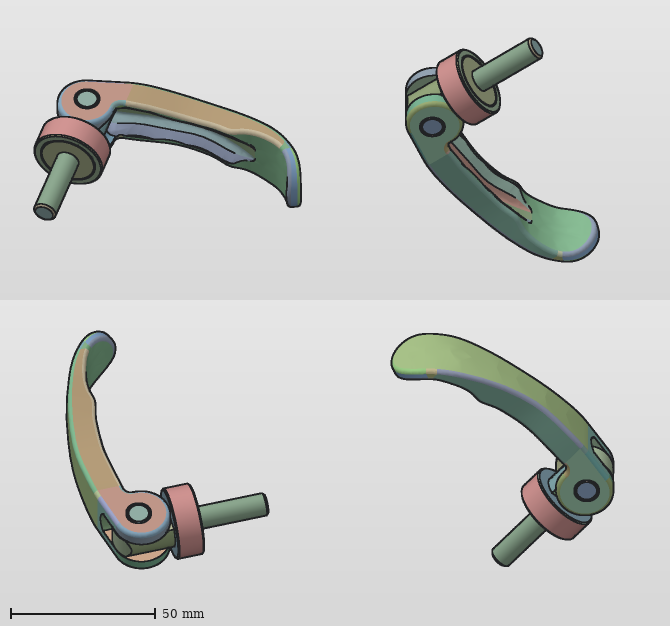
import cadquery as cq
import math


collar_radius = 12.5
collar_top_y = -11.0
collar_thickness = 9.4
collar_bottom_y = collar_top_y - collar_thickness
collar_chamfer = 0.5

shaft_radius = 4.0
shaft_end_y = -45.6
shaft_chamfer = 0.75
disc_radius = 10.0
disc_thickness = 3.8
disc_top_y = collar_bottom_y + disc_thickness
disc_chamfer = 0.5
neck_radius = 8.0
neck_half_width = 5.0
eye_radius = 9.2
eye_half_width = 4.6
eye_bottom_y = -8.7
pin_radius = 4.0
pin_chamfer = 0.5

fork_half_width = 10.02
cam_radius = 10.02
cam_center_y = collar_top_y + cam_radius
slot_half_width = neck_half_width
slot_end_radius = neck_radius + 0.2
pin_hole_chamfer = 0.4

roof_slope = math.radians(15)
roof_end_x = 10.1
back_points = [
    (21.9, 13.9), (32.0, 14.5), (44.5, 13.55), (52.3, 12.3), (61.6, 9.8), (68.5, 6.8), (75.7, 0.9), (82.2, -11.3),
]
back_end_direction = (0.3, -1)
crown_drops = [0, 0, 0.6, 1.0, 1.1, 1.0, 0.5, 0]
crown_half_width = 13.2
grip_points = [
    (76.8, -12.7), (73.4, -3.1), (69.7, 0.1), (65.7, 1.8), (59.3, 3.2), (55.5, 3.0),
    (52.0, 2.3), (46.7, 3.3), (40.9, 3.95), (32.0, 4.2), (21.9, 3.5),
]
root_corner_y = 1.9
root_corner_x = math.sqrt(cam_radius**2 - (root_corner_y - cam_center_y) ** 2)
root_fillet = 2.8

fork_end_x = 13.1
waist = (33.4, 8.3)
paddle_flare = (58.1, 11.0)
paddle_side_x = 71.5
paddle_half_width = 12.5
tip_center_x = 74.2
tip_tilt = math.radians(25)
edge_fillet = 1.4

channel_sections = [
    (6.6, 0.9, 7.5, 4.8, 4.3, 2.3),
    (12.7, 2.3, 8.1, 7.7, 4.2, 1.9),
    (23.5, 3.7, 9.0, 7.1, 3.3, 0.8),
    (34.8, 4.2, 9.4, 6.1, 2.5, 0.3),
    (45.2, 3.7, 8.3, 6.7, 3.0, 0.5),
    (52.2, 2.35, 6.4, 7.2, 3.8, 1.1),
    (57.4, 3.0, 4.5, 5.4, 3.5, 1.8),
    (62.1, 1.5, 2.1, 2.8, 2.4, 2.1),
]
channel_open_y = -12.2

through = 282.3


def cylinder_along_y(radius, bottom_y, top_y):
    return cq.Workplane("XZ", origin=(0, top_y, 0)).circle(radius).extrude(top_y - bottom_y)


def box_between(x_range, y_range, half_width):
    """A block symmetrical about Z = 0."""
    (x0, x1), (y0, y1) = x_range, y_range
    return cq.Workplane("XY", origin=((x0 + x1) / 2, (y0 + y1) / 2, 0)).box(x1 - x0, y1 - y0, 2 * half_width)


def make_neck():
    """Round neck with two flats; its top is an eye rounded about the pivot and slightly thinner."""
    full_width = (-neck_radius, neck_radius)
    lower_flats = box_between(full_width, (collar_bottom_y, eye_bottom_y), neck_half_width)
    eye_flats = box_between(full_width, (eye_bottom_y, 0), eye_half_width)
    eye = cq.Workplane("XY").circle(eye_radius).extrude(eye_half_width, both=True)
    neck = cylinder_along_y(neck_radius, collar_bottom_y, eye_radius)
    return neck.intersect(lower_flats.union(eye_flats).union(eye))


def make_stud():
    """Shaft, disc, neck and the cross pin that the lever turns on, all in one piece."""
    shaft = cylinder_along_y(shaft_radius, shaft_end_y, disc_top_y).faces("<Y").chamfer(shaft_chamfer)
    disc = cylinder_along_y(disc_radius, collar_bottom_y, disc_top_y).faces("<Y").chamfer(disc_chamfer)
    pin = cq.Workplane("XY").circle(pin_radius).extrude(fork_half_width, both=True)
    pin = pin.faces("|Z").chamfer(pin_chamfer)
    return make_neck().union(disc).union(shaft).union(pin)


def make_collar():
    ring = cylinder_along_y(collar_radius, collar_bottom_y, collar_top_y).faces("|Y").chamfer(collar_chamfer)
    disc_seat = cylinder_along_y(disc_radius, collar_bottom_y, disc_top_y)
    return ring.cut(disc_seat).cut(make_neck())


def side_outline(z):
    """Closed side outline at height z; the back falls away from the middle plane as a parabola."""
    roof_start = (
        -cam_radius * math.sin(roof_slope),
        cam_center_y + cam_radius * math.cos(roof_slope),
    )
    roof_end_y = roof_start[1] + (roof_end_x - roof_start[0]) * math.tan(roof_slope)
    fall = (z / crown_half_width) ** 2
    back = [(x, y - drop * fall) for (x, y), drop in zip(back_points, crown_drops)]
    back_tangents = [(1, math.tan(roof_slope)), back_end_direction]
    return (
        cq.Workplane("XY", origin=(0, 0, z))
        .moveTo(*roof_start)
        .lineTo(roof_end_x, roof_end_y)
        .spline(back, tangents=back_tangents, includeCurrent=True)
        .lineTo(*grip_points[0])
        .spline([*grip_points[1:], (root_corner_x, root_corner_y)], includeCurrent=True)
        .threePointArc((0, cam_center_y - cam_radius), roof_start)
        .close()
        .val()
    )


def make_crowned_side():
    outlines = [side_outline(z) for z in (-crown_half_width, 0, crown_half_width)]
    return cq.Workplane(cq.Solid.makeLoft(outlines))


def make_plan():
    upper = [(fork_end_x, fork_half_width), waist, paddle_flare, (paddle_side_x, paddle_half_width)]
    lower = [(x, -z) for x, z in reversed(upper)]
    return (
        cq.Workplane("XZ")
        .moveTo(-through / 2, fork_half_width)
        .lineTo(*upper[0])
        .spline(upper[1:], tangents=[(1, 0), (1, 0)], includeCurrent=True)
        .lineTo(through / 2, paddle_half_width)
        .lineTo(through / 2, -paddle_half_width)
        .lineTo(*lower[0])
        .spline(lower[1:], tangents=[(-1, 0), (-1, 0)], includeCurrent=True)
        .lineTo(-through / 2, -fork_half_width)
        .close()
        .extrude(through / 2, both=True)
    )


def make_round_tip():
    """Strip with a half-round end, extruded square to the tilted paddle tip."""
    plane = cq.Plane(
        origin=(tip_center_x, 0, 0),
        xDir=(math.sin(tip_tilt), -math.cos(tip_tilt), 0),
        normal=(math.cos(tip_tilt), math.sin(tip_tilt), 0),
    )
    return (
        cq.Workplane(plane)
        .moveTo(-through / 2, paddle_half_width)
        .lineTo(0, paddle_half_width)
        .threePointArc((paddle_half_width, 0), (0, -paddle_half_width))
        .lineTo(-through / 2, -paddle_half_width)
        .close()
        .extrude(through / 2, both=True)
    )


def make_lever_blank():
    blank = make_crowned_side().intersect(make_plan()).intersect(make_round_tip())
    root_edge = cq.selectors.NearestToPointSelector((root_corner_x, root_corner_y, 0))
    blank = blank.edges(root_edge).fillet(root_fillet)
    tip_direction = cq.Vector(math.cos(tip_tilt), math.sin(tip_tilt), 0)
    not_tip_seam = cq.selectors.InverseSelector(cq.selectors.ParallelDirSelector(tip_direction))
    return blank.edges("not(|Z or |Y)").edges(not_tip_seam).fillet(edge_fillet)


def make_fork_slot():
    """Slot open towards -X, ending in a round wall concentric with the neck."""
    reach = (-through / 2, through / 2)
    round_end = cylinder_along_y(slot_end_radius, *reach).intersect(box_between(reach, reach, slot_half_width))
    return round_end.union(box_between((-through / 2, 0), reach, slot_half_width))


def channel_section(x, rim_y, floor_y, rim_half, middle_half, floor_half):
    """Closed section with rounded rims, steep walls and a rounded floor, open towards -Y."""
    middle_y = (rim_y + floor_y) / 2
    rim_tangent = 0.4
    return (
        cq.Workplane("YZ", origin=(x, 0, 0))
        .moveTo(channel_open_y, rim_half)
        .lineTo(rim_y, rim_half)
        .spline([(middle_y, middle_half)], tangents=[(rim_tangent, -1), (1, -1)], includeCurrent=True)
        .spline([(floor_y, floor_half)], tangents=[(1, -1), (0, -1)], includeCurrent=True)
        .lineTo(floor_y, -floor_half)
        .spline([(middle_y, -middle_half)], tangents=[(0, -1), (-1, -1)], includeCurrent=True)
        .spline([(rim_y, -rim_half)], tangents=[(-1, -1), (-rim_tangent, -1)], includeCurrent=True)
        .lineTo(channel_open_y, -rim_half)
        .close()
        .val()
    )


def make_channel():
    return cq.Workplane(cq.Solid.makeLoft([channel_section(*row) for row in channel_sections]))


def make_pin_hole():
    """Hole through both fork legs with a chamfer at each outer end."""
    hole = cq.Workplane("XY").circle(pin_radius).extrude(fork_half_width, both=True)
    for side in (-1, 1):
        mouth = cq.Solid.makeCone(
            pin_radius + pin_hole_chamfer,
            pin_radius,
            pin_hole_chamfer,
            pnt=cq.Vector(0, 0, side * fork_half_width),
            dir=cq.Vector(0, 0, -side),
        )
        hole = hole.union(cq.Workplane(mouth))
    return hole


def make_lever():
    return make_lever_blank().cut(make_fork_slot()).cut(make_channel()).cut(make_pin_hole())


lever = make_lever()
collar = make_collar()
stud = make_stud()

bodies = [lever, collar, stud]
result = cq.Compound.makeCompound([body.solids().val() for body in bodies])